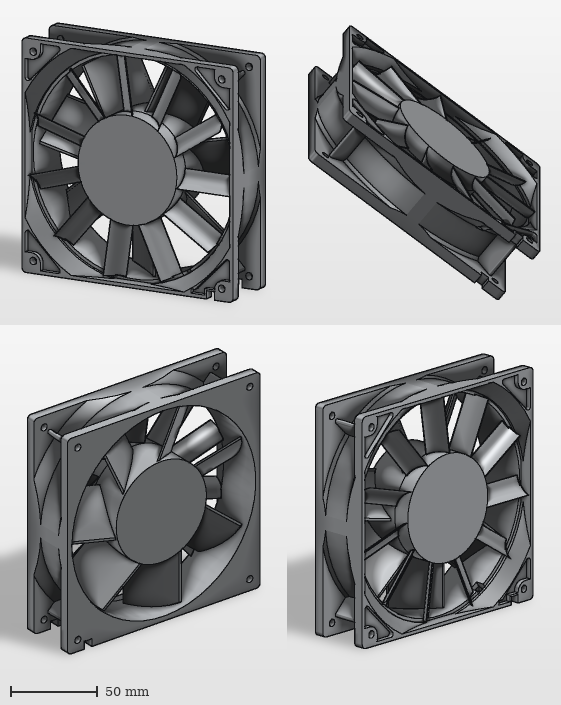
import cadquery as cq
import math


side = 139.7
depth = 38.0
flange = 6.1
corner_radius = 3.0

throat_radius = 66.6
wall_radius = 70.0
wall_front = 12.7
wall_rear = 29.6
rear_flare = 1.4

ledge_depth = 7.7
ledge_radius = 68.7
flare_depth = 5.9
outlet_radius = 77.3
outlet_half = 67.6

screw_offset = 62.3
screw_diameter = 4.3

rib_tip = 58.3
rib_thickness = 2.8

pocket_depth = 3.1
pocket_chord = 77.7
boss_edge = 57.5
boss_round = 5.9
pocket_tip_round = 1.7
cable_pocket_left = 41.9
cable_pocket_tip_height = 2.5

notch_left = 52.1
notch_right = boss_edge
notch_top = -64.8
notch_wall = 1.1
cable_hole_angle = -58.9
cable_hole_width = 5.9
cable_hole_depth = 5.6

hub_radius = 32.7
stator_hub_depth = 10.5
vane_count = 11
vane_tip_radius = 67.3
vane_thickness = 0.5
vane_front = (0.7, -7.1)
vane_middle = (6.4, -3.5)
vane_rear = (9.5, 3.2)

rotor_rear = 35.6
blade_count = 7
blade_phase = -90.0
blade_tip_radius = 65.8
blade_thickness = 1.5
blade_front = (13.5, 9.2)
blade_middle = (25.1, -1.4)
blade_rear = (34.0, -15.8)

overlap = 1.4
root_radius = 25.1


def plate(sketch_at, depth_from, thickness):
    """Extrude a sketch drawn in X and Z from one depth toward +Y."""
    plane = cq.Workplane("XZ", origin=(0, depth_from, 0))
    return sketch_at(plane).extrude(-thickness)


def disc(radius, depth_from, depth_to):
    return plate(lambda p: p.circle(radius), depth_from, depth_to - depth_from)


def turn(body, angle):
    """Turn a body about the fan axis, from +X toward +Z."""
    return body.rotate((0, 0, 0), (0, -1, 0), angle)


def around_axis(body, count, phase=0.0):
    return [turn(body, phase + i * 360.0 / count) for i in range(count)]


def curved_blade(front, middle, rear, offset, tip_radius):
    """A curved sheet along +X; offset is its (Y, tangential) thickness from the given side."""
    def moved(point):
        return (point[0] + offset[0], point[1] + offset[1])

    sheet = (
        cq.Workplane("YZ", origin=(root_radius, 0, 0))
        .moveTo(*front)
        .threePointArc(middle, rear)
        .lineTo(*moved(rear))
        .threePointArc(moved(middle), moved(front))
        .close()
        .extrude(tip_radius - root_radius)
    )
    return sheet.intersect(disc(tip_radius, 0, depth))


def make_outer_shell():
    """Two square flanges joined by the round wall, before the air passage is cut."""
    def square(p):
        return p.rect(side, side)

    flanges = plate(square, 0, flange).union(plate(square, depth - flange, flange))
    wall = (
        cq.Workplane("XY")
        .polyline([
            (0, flange),
            (wall_radius + wall_front - flange, flange),
            (wall_radius, wall_front),
            (wall_radius, wall_rear),
            (wall_radius + rear_flare, depth - flange),
            (0, depth - flange),
        ])
        .close()
        .revolve(360, (0, 0, 0), (0, 1, 0))
    )
    block = plate(square, 0, depth).edges("|Y").fillet(corner_radius)
    shell = flanges.union(wall)
    for rib in around_axis(make_corner_rib(), 4, 45):
        shell = shell.union(rib)
    return shell.intersect(block)


def make_corner_rib():
    """A radial rib between the flanges with a rounded outer edge, along +X."""
    tip = rib_tip * math.sqrt(2)
    length = tip - wall_radius + overlap
    web = plate(
        lambda p: p.center(tip - length / 2, 0).rect(length, rib_thickness), flange, depth - 2 * flange
    )
    edge = plate(lambda p: p.center(tip, 0).circle(rib_thickness / 2), flange, depth - 2 * flange)
    return web.union(edge)


def make_air_passage():
    """The round throat and the flared outlet, whose flare is trimmed to a square."""
    flare = (
        cq.Workplane("XY")
        .polyline([
            (0, 0),
            (outlet_radius, 0),
            (ledge_radius, flare_depth),
            (ledge_radius, ledge_depth),
            (0, ledge_depth),
        ])
        .close()
        .revolve(360, (0, 0, 0), (0, 1, 0))
    )
    trim = plate(lambda p: p.rect(2 * outlet_half, 2 * outlet_half), 0, ledge_depth)
    return disc(throat_radius, 0, depth).union(flare.intersect(trim))


def make_pocket():
    """The corner pocket at +X, +Z: a triangle with the screw corner left solid."""
    chord_end = pocket_chord * math.sqrt(2) - outlet_half
    triangle = plate(
        lambda p: p.polyline([
            (chord_end, outlet_half), (outlet_half, outlet_half), (outlet_half, chord_end)
        ]).close(),
        0,
        pocket_depth,
    )
    triangle = triangle.edges("|Y and (<X or <Z)").fillet(pocket_tip_round)
    boss_size = side / 2 - boss_edge
    boss_centre = boss_edge + boss_size / 2
    boss = plate(
        lambda p: p.center(boss_centre, boss_centre).rect(boss_size, boss_size), 0, pocket_depth
    )
    boss = boss.edges("|Y and <X and <Z").fillet(boss_round)
    return triangle.cut(boss)


def make_cable_pocket():
    """The pocket at +X, -Z, with a blunt tip and a wall left around the cable notch."""
    tip_width = boss_edge - notch_wall - cable_pocket_left
    tip_x = cable_pocket_left + tip_width / 2
    tip_z = cable_pocket_tip_height / 2 - outlet_half
    tip = plate(
        lambda p: p.center(tip_x, tip_z).rect(tip_width, cable_pocket_tip_height), 0, pocket_depth
    )
    return turn(make_pocket(), -90).union(tip).cut(make_cable_notch(notch_wall))


def make_cable_notch(margin):
    """A slot open at the bottom side, wider and taller by the margin."""
    width = notch_right - notch_left + margin
    height = side / 2 + notch_top + margin
    centre_x = notch_right - width / 2
    centre_z = height / 2 - side / 2
    return plate(lambda p: p.center(centre_x, centre_z).rect(width, height), 0, depth)


def make_cable_hole():
    """An opening through the wall just behind the ledge, toward the cable notch."""
    outer_radius = wall_radius + wall_front - ledge_depth
    reach = outer_radius - throat_radius + 2 * overlap
    hole = cq.Workplane("XY").box(
        reach, cable_hole_depth, cable_hole_width, centered=(False, False, True)
    )
    return turn(hole.translate((throat_radius - overlap, ledge_depth, 0)), cable_hole_angle)


def make_stator():
    """The frame, the guide vanes and the front hub, in one piece."""
    screw_holes = plate(
        lambda p: p.rect(2 * screw_offset, 2 * screw_offset, forConstruction=True)
        .vertices()
        .circle(screw_diameter / 2),
        0,
        depth,
    )
    body = make_outer_shell().cut(make_air_passage()).cut(screw_holes)

    for corner in range(3):
        body = body.cut(turn(make_pocket(), 90 * corner))
    body = body.cut(make_cable_pocket())
    body = body.cut(make_cable_notch(0)).cut(make_cable_hole())

    body = body.union(disc(hub_radius, 0, stator_hub_depth))
    vane = curved_blade(vane_front, vane_middle, vane_rear, (vane_thickness, 0), vane_tip_radius)
    for copy in around_axis(vane, vane_count):
        body = body.union(copy)
    return body


def make_rotor():
    """The rear hub with its blades; it turns against the back of the stator hub."""
    body = disc(hub_radius, stator_hub_depth, rotor_rear)
    blade = curved_blade(blade_front, blade_middle, blade_rear, (0, blade_thickness), blade_tip_radius)
    for copy in around_axis(blade, blade_count, blade_phase):
        body = body.union(copy)
    return body


stator = make_stator()
rotor = make_rotor()
result = cq.Compound.makeCompound([stator.val(), rotor.val()])